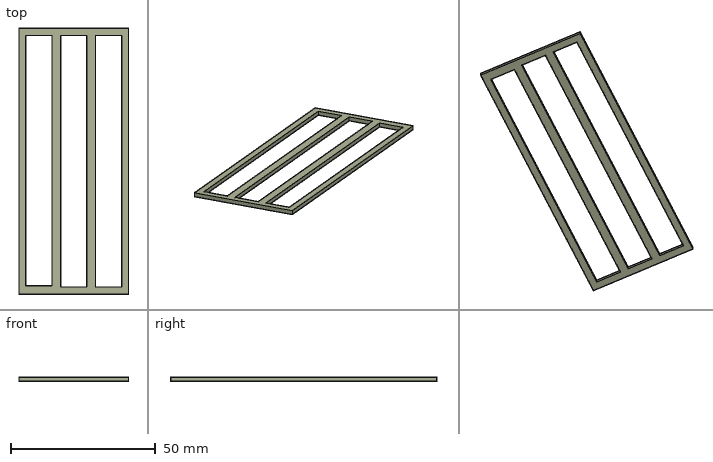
import cadquery as cq

width = 38.0
length = 92.0
thickness = 1.5

side_border = 2.5
end_border = 2.6
left_front_border = 3.0
bar_width = 3.0
window_count = 3

bar_count = window_count - 1
window_width = (width - 2 * side_border - bar_count * bar_width) / window_count
window_pitch = window_width + bar_width


def window(index, front_border):
    """Rectangular cutter for one window, counted from the -X side."""
    left = -width / 2 + side_border + index * window_pitch
    front = -length / 2 + front_border
    window_length = length - end_border - front_border
    return (
        cq.Workplane("XY")
        .box(window_width, window_length, thickness, centered=(False, False, True))
        .translate((left, front, 0))
    )


result = cq.Workplane("XY").box(width, length, thickness)

for index in range(window_count):
    front_border = left_front_border if index == 0 else end_border
    result = result.cut(window(index, front_border))